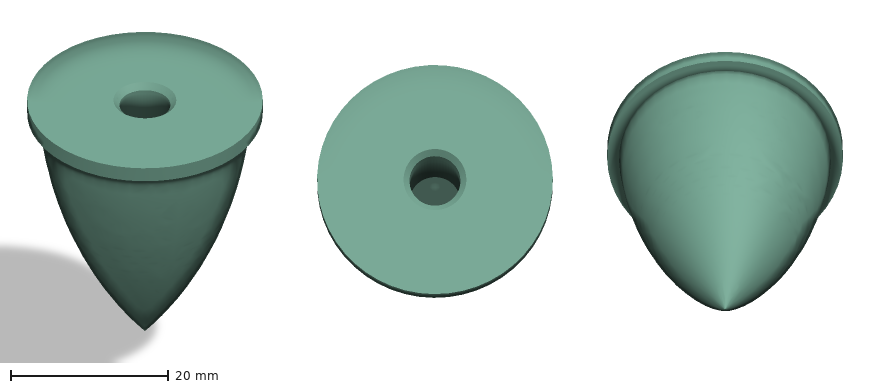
import cadquery as cq

total_height = 36.0
flange_diameter = 30.0
flange_thickness = 2.0

body_radius = 13.45
collar_height = 0.7
ogive_mid_radius = 9.65

hole_diameter = 6.48
hole_depth = 12.0
countersink_size = 0.75

flange_bottom = total_height - flange_thickness
ogive_top = flange_bottom - collar_height


def make_body():
    """Revolve the flange, collar and pointed ogive as one profile."""
    flange_radius = flange_diameter / 2
    profile = (
        cq.Workplane("XZ")
        .moveTo(0, 0)
        .threePointArc((ogive_mid_radius, ogive_top / 2), (body_radius, ogive_top))
        .lineTo(body_radius, flange_bottom)
        .lineTo(flange_radius, flange_bottom)
        .lineTo(flange_radius, total_height)
        .lineTo(0, total_height)
        .close()
    )
    return profile.revolve(360, (0, 0, 0), (0, 1, 0))


def make_hole():
    """Revolve the volume removed by the flat-bottomed countersunk hole."""
    hole_radius = hole_diameter / 2
    hole_bottom = total_height - hole_depth
    profile = (
        cq.Workplane("XZ")
        .moveTo(0, hole_bottom)
        .lineTo(hole_radius, hole_bottom)
        .lineTo(hole_radius, total_height - countersink_size)
        .lineTo(hole_radius + countersink_size, total_height)
        .lineTo(0, total_height)
        .close()
    )
    return profile.revolve(360, (0, 0, 0), (0, 1, 0))


result = make_body().cut(make_hole())